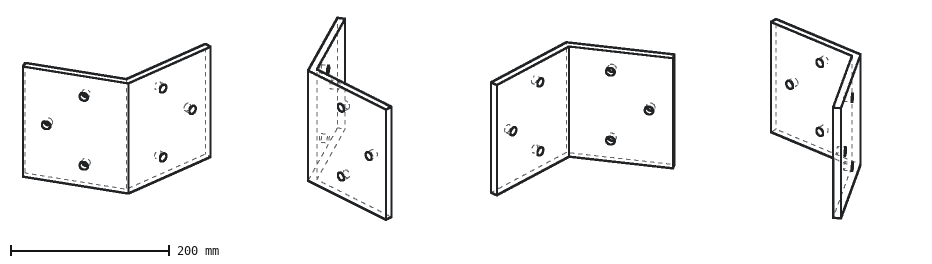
import cadquery as cq
import math

overall_length = 210.0
height = 160.0
thickness = 10.0
bend_angle = 60.0
hole_diameter = 11.0
end_hole_inset = 30.9
hole_spacing = 50.0

bend = math.radians(bend_angle)
leg_length = overall_length / (1 + math.cos(bend))
inner_setback = thickness * math.tan(bend / 2)

outer_end = (leg_length * math.cos(bend), leg_length * math.sin(bend))
inner_end = (
    outer_end[0] - thickness * math.sin(bend),
    outer_end[1] + thickness * math.cos(bend),
)
plate = (
    cq.Workplane("XY")
    .polyline([
        (-leg_length, 0),
        (0, 0),
        outer_end,
        inner_end,
        (-inner_setback, thickness),
        (-leg_length, thickness),
    ])
    .close()
    .extrude(height / 2, both=True)
)


def leg_holes(along, outward):
    """Three through holes in the leg that leaves the outer corner along a direction."""
    outer_face = cq.Workplane(cq.Plane(origin=(0, 0, 0), xDir=along, normal=outward))
    single_at = leg_length - end_hole_inset
    pair_at = single_at - hole_spacing
    return (
        outer_face
        .pushPoints([(single_at, 0), (pair_at, hole_spacing), (pair_at, -hole_spacing)])
        .circle(hole_diameter / 2)
        .extrude(-thickness)
    )


straight_holes = leg_holes((-1, 0, 0), (0, -1, 0))
angled_holes = leg_holes(
    (math.cos(bend), math.sin(bend), 0),
    (math.sin(bend), -math.cos(bend), 0),
)

result = plate.cut(straight_holes).cut(angled_holes)